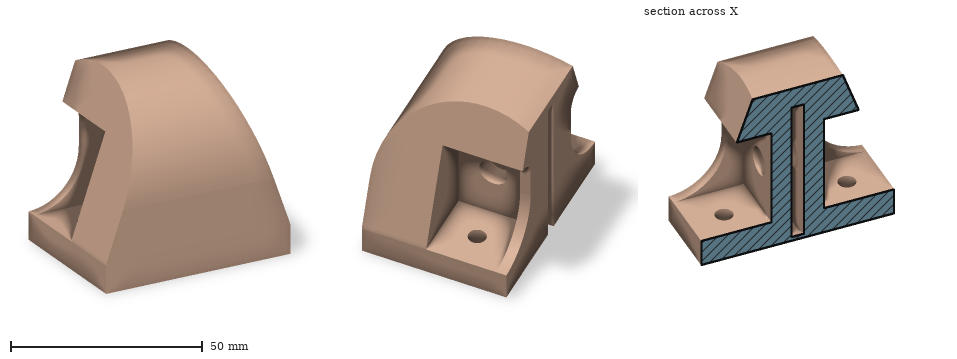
import cadquery as cq
import math

length = 41.5
base_width = 55.0
base_height = 8.0
top_width = 25.0

crown_radius = 28.5
axle_x = length - crown_radius
axle_z = 22.5
total_height = axle_z + crown_radius
axle_diameter = 8.1

wheel_radius = axle_z
slot_width = 3.5

pocket_end_x = 23.0
pocket_top_z = 37.0
pocket_wall_y = 7.5
web_opening_y = 12.5
web_thickness = 3.0
web_lower_radius = 15.5
web_upper_radius = 5.0

flank_radius = 6.0
foot_lean = math.radians(9)

mount_diameter = 5.0
mount_y = 17.5


def side_profile():
    """Crown outline in XZ, extruded over the full base width."""
    crown_back_z = axle_z + math.sqrt(crown_radius**2 - axle_x**2)
    return (
        cq.Workplane("XZ", origin=(0, base_width / 2, 0))
        .lineTo(length, 0)
        .lineTo(length, axle_z)
        .threePointArc((axle_x, total_height), (0, crown_back_z))
        .close()
        .extrude(base_width)
    )


def end_profile():
    """Tapered outline in YZ: vertical base sides, then an arc running tangentially into each flank."""
    base_y = base_width / 2
    top_y = top_width / 2
    centre_y = base_y - flank_radius * math.cos(foot_lean)
    centre_z = base_height - flank_radius * math.sin(foot_lean)
    offset_y = centre_y - top_y
    rise = total_height - centre_z
    flank_lean = math.atan2(offset_y, rise) + math.asin(flank_radius / math.hypot(offset_y, rise))

    def rounding_point(angle):
        return (
            centre_y + flank_radius * math.cos(angle),
            centre_z + flank_radius * math.sin(angle),
        )

    tangent_y, tangent_z = rounding_point(flank_lean)
    middle_y, middle_z = rounding_point((foot_lean + flank_lean) / 2)
    return (
        cq.Workplane("YZ")
        .moveTo(-base_y, 0)
        .lineTo(base_y, 0)
        .lineTo(base_y, base_height)
        .threePointArc((middle_y, middle_z), (tangent_y, tangent_z))
        .lineTo(top_y, total_height)
        .lineTo(-top_y, total_height)
        .lineTo(-tangent_y, tangent_z)
        .threePointArc((-middle_y, middle_z), (-base_y, base_height))
        .close()
        .extrude(length)
    )


def side_pocket():
    """Pocket on the +Y side: square and deeper behind the web, shallower and rounded in the web."""
    outer_y = web_opening_y + 2 * web_lower_radius
    pocket = cq.Workplane("XY").box(
        pocket_end_x - web_thickness,
        outer_y - pocket_wall_y,
        pocket_top_z - base_height,
        centered=False,
    ).translate((web_thickness, pocket_wall_y, base_height))
    web_opening = (
        cq.Workplane("YZ")
        .moveTo(outer_y, base_height)
        .lineTo(web_opening_y + web_lower_radius, base_height)
        .radiusArc((web_opening_y, base_height + web_lower_radius), web_lower_radius)
        .lineTo(web_opening_y, pocket_top_z - web_upper_radius)
        .radiusArc((web_opening_y + web_upper_radius, pocket_top_z), web_upper_radius)
        .lineTo(outer_y, pocket_top_z)
        .close()
        .extrude(web_thickness)
    )
    return pocket.union(web_opening)


def wheel_slot():
    """Disc-shaped slot around the axle, extended straight out through the back face."""
    disc = (
        cq.Workplane("XZ", origin=(axle_x, slot_width / 2, axle_z))
        .circle(wheel_radius)
        .extrude(slot_width)
    )
    opening = cq.Workplane("XY").box(axle_x, slot_width, 2 * wheel_radius).translate(
        (axle_x / 2, 0, axle_z)
    )
    return disc.union(opening)


def axle_hole():
    """Through hole along Y."""
    return (
        cq.Workplane("XZ", origin=(axle_x, base_width / 2, axle_z))
        .circle(axle_diameter / 2)
        .extrude(base_width)
    )


def mounting_holes():
    """One vertical hole through the base in each side pocket."""
    return (
        cq.Workplane("XY")
        .pushPoints([(axle_x, mount_y), (axle_x, -mount_y)])
        .circle(mount_diameter / 2)
        .extrude(base_height)
    )


pocket = side_pocket()
result = (
    side_profile()
    .intersect(end_profile())
    .cut(pocket)
    .cut(pocket.mirror("XZ"))
    .cut(wheel_slot())
    .cut(axle_hole())
    .cut(mounting_holes())
)